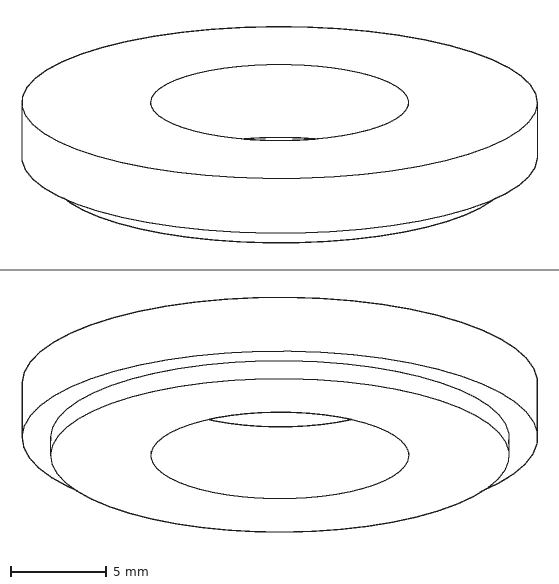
import cadquery as cq

flange_diameter = 27.0
spigot_diameter = 24.0
bore_diameter = 13.5
total_height = 4.0
spigot_height = 1.0
flange_height = total_height - spigot_height

spigot = cq.Workplane("XY").circle(spigot_diameter / 2).extrude(spigot_height)

washer = spigot.faces(">Z").workplane().circle(flange_diameter / 2).extrude(flange_height)

result = washer.faces(">Z").workplane().hole(bore_diameter)